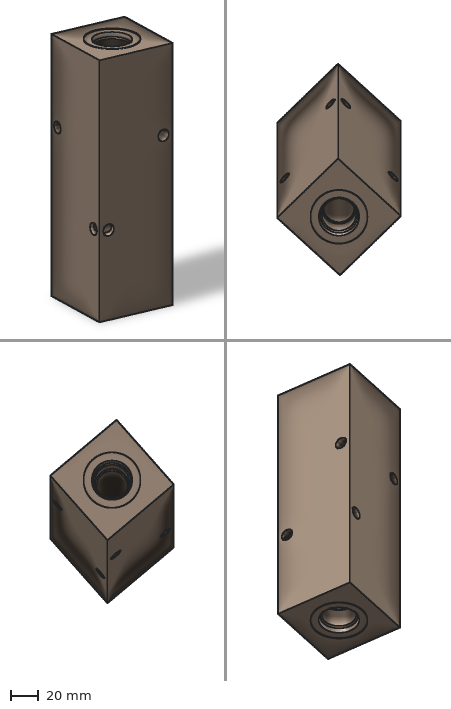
import cadquery as cq

length = 203.2
width = 63.5

bore_dia = 22.1
spotface_dia = 41.2
spotface_depth = 0.6
seal_mouth_dia = 29.3
seal_throat_dia = 27.2
seal_depth = 3.3
thread_dia = 24.8
lead_in_depth = (seal_throat_dia - thread_dia) / 2
thread_depth = 19.0

cross_hole_dia = 9.1
cross_hole_edge_distance = 8.0
cross_hole_end_distance = 70.0
cross_hole_offset = width / 2 - cross_hole_edge_distance
cross_hole_height = length / 2 - cross_hole_end_distance


def port_cutter():
    """Revolved port tool entering the upper end face."""
    face_z = length / 2
    spotface_z = face_z - spotface_depth
    throat_z = spotface_z - seal_depth
    thread_top_z = throat_z - lead_in_depth
    thread_bottom_z = spotface_z - thread_depth
    profile = [
        (0, face_z),
        (spotface_dia / 2, face_z),
        (spotface_dia / 2, spotface_z),
        (seal_mouth_dia / 2, spotface_z),
        (seal_throat_dia / 2, throat_z),
        (thread_dia / 2, thread_top_z),
        (thread_dia / 2, thread_bottom_z),
        (0, thread_bottom_z),
    ]
    return cq.Workplane("XZ").polyline(profile).close().revolve(360, (0, 0), (0, 1))


def cross_holes(plane, upper_side):
    """Two through holes; upper_side is the sign of the upper hole's sideways offset."""
    upper = (upper_side * cross_hole_offset, cross_hole_height)
    lower = (-upper_side * cross_hole_offset, -cross_hole_height)
    return (
        cq.Workplane(plane)
        .pushPoints([upper, lower])
        .circle(cross_hole_dia / 2)
        .extrude(width, both=True)
    )


block = cq.Workplane("XY").box(width, width, length)
bore = cq.Workplane("XY").circle(bore_dia / 2).extrude(length, both=True)
upper_port = port_cutter()
lower_port = upper_port.mirror("XY")

result = block.cut(bore).cut(upper_port).cut(lower_port)
result = result.cut(cross_holes("XZ", -1))
result = result.cut(cross_holes("YZ", 1))